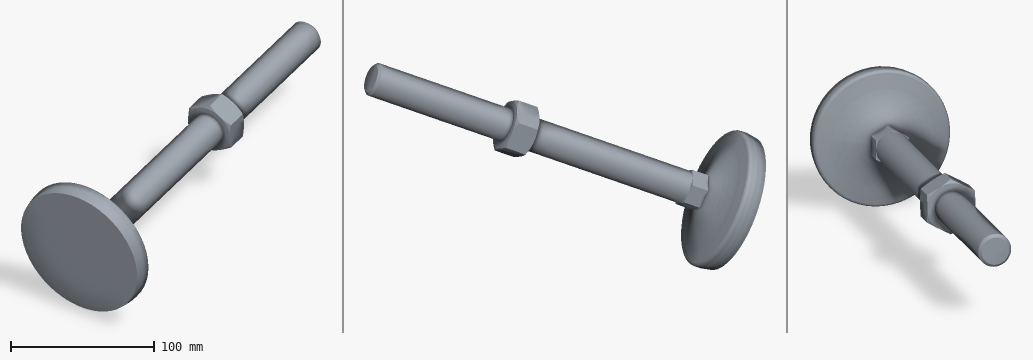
import cadquery as cq
import math


total_length = 288.5
base_diameter = 100.0

bottom_diameter = 97.5
taper_height = 7.5
rim_height = 11.5
rim_round = 2.7
crown_diameter = 24.0
crown_height = 25.5
flank_sag = 2.0

neck_diameter = 10.0
neck_gap = 0.5

spindle_diameter = 24.0
spindle_chamfer = 2.0
foot_hex_flats = 24.0
foot_hex_height = 12.5

nut_flats = 35.0
nut_height = 18.0
nut_start = 163.5
nut_chamfer_angle = 30.0

foot_hex_start = crown_height + neck_gap
foot_hex_end = foot_hex_start + foot_hex_height


def across_corners(flats):
    """Corner-to-corner width of a hexagon with the given width across flats."""
    return flats / math.cos(math.radians(30))


def plane_at(y):
    """Plane across the axis at height y, with its normal along +Y."""
    return cq.Workplane(cq.Plane(origin=(0, y, 0), xDir=(0, 0, 1), normal=(0, 1, 0)))


def cylinder(diameter, start, end):
    return plane_at(start).circle(diameter / 2).extrude(end - start)


def hexagon(flats, start, height):
    """Hexagonal prism with two flats facing -X and +X."""
    return plane_at(start).polygon(6, across_corners(flats)).extrude(height)


def make_base():
    """Tapered plate with a rounded rim and a hollow-curved flank up to the crown."""
    base_radius = base_diameter / 2
    crown_radius = crown_diameter / 2
    flank_radius = base_radius - rim_round
    flank_start = rim_height + rim_round
    flank_run = flank_radius - crown_radius
    flank_rise = crown_height - flank_start
    flank_chord = math.hypot(flank_run, flank_rise)
    flank_middle = (
        (flank_radius + crown_radius) / 2 - flank_sag * flank_rise / flank_chord,
        (flank_start + crown_height) / 2 - flank_sag * flank_run / flank_chord,
    )
    half_quarter_turn = math.radians(45)
    rim_middle = (
        flank_radius + rim_round * math.cos(half_quarter_turn),
        rim_height + rim_round * math.sin(half_quarter_turn),
    )
    profile = (
        cq.Workplane("XY")
        .lineTo(bottom_diameter / 2, 0)
        .lineTo(base_radius, taper_height)
        .lineTo(base_radius, rim_height)
        .threePointArc(rim_middle, (flank_radius, flank_start))
        .threePointArc(flank_middle, (crown_radius, crown_height))
        .lineTo(0, crown_height)
        .close()
    )
    return profile.revolve(360, (0, 0, 0), (0, 1, 0))


def make_spindle():
    """Rod with a chamfered tip, standing on a hexagon foot."""
    rod = cylinder(spindle_diameter, foot_hex_end, total_length)
    rod = rod.faces(">Y").chamfer(spindle_chamfer)
    return rod.union(hexagon(foot_hex_flats, foot_hex_start, foot_hex_height))


def make_nut():
    """Hexagon nut whose corners are cut by a cone at both ends."""
    corner_radius = across_corners(nut_flats) / 2
    face_radius = nut_flats / 2
    chamfer_height = (corner_radius - face_radius) * math.tan(math.radians(nut_chamfer_angle))
    nut_end = nut_start + nut_height
    envelope = (
        cq.Workplane("XY")
        .moveTo(0, nut_start)
        .lineTo(face_radius, nut_start)
        .lineTo(corner_radius, nut_start + chamfer_height)
        .lineTo(corner_radius, nut_end - chamfer_height)
        .lineTo(face_radius, nut_end)
        .lineTo(0, nut_end)
        .close()
        .revolve(360, (0, 0, 0), (0, 1, 0))
    )
    return hexagon(nut_flats, nut_start, nut_height).intersect(envelope)


neck = cylinder(neck_diameter, crown_height, foot_hex_start)
result = make_base().union(neck).union(make_spindle()).union(make_nut())